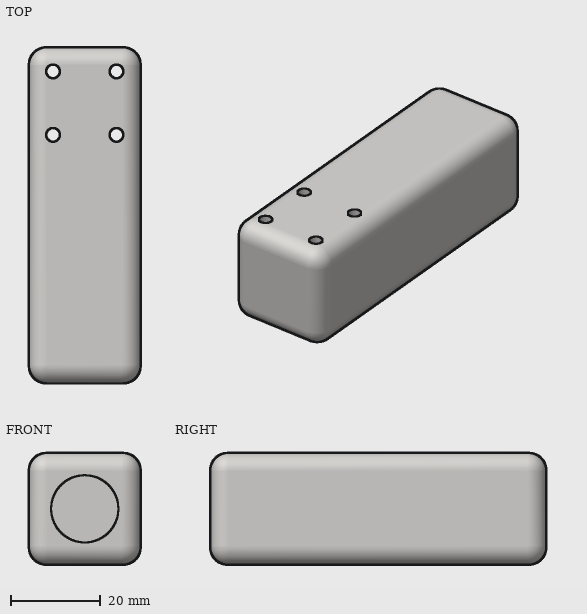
import cadquery as cq

width = 25.0
length = 75.0
height = 25.0
edge_radius = 4.0

bore_diameter = 15.0
bore_depth = 50.0

hole_diameter = 3.0
bolt_circle_diameter = 20.0
hole_count = 4
first_hole_angle = 45.0
full_turn = 360.0
bolt_circle_y = length / 2 - width / 2


def rounded_block():
    return cq.Workplane("XY").box(width, length, height).edges().fillet(edge_radius)


def bore():
    return (
        cq.Workplane("XZ", origin=(0, -length / 2, 0))
        .circle(bore_diameter / 2)
        .extrude(-bore_depth)
    )


def bolt_holes():
    return (
        cq.Workplane("XY", origin=(0, bolt_circle_y, -height / 2))
        .polarArray(bolt_circle_diameter / 2, first_hole_angle, full_turn, hole_count)
        .circle(hole_diameter / 2)
        .extrude(height)
    )


result = rounded_block().cut(bore()).cut(bolt_holes())